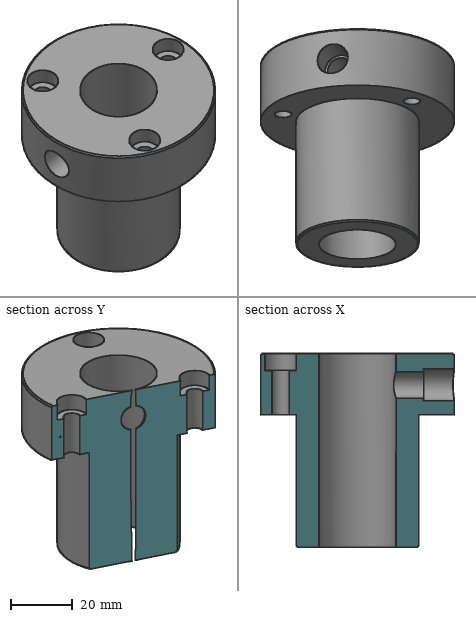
import cadquery as cq

total_height = 63.0
flange_diameter = 63.0
flange_height = 20.0
shank_diameter = 40.0
bore_diameter = 25.0
edge_chamfer = 0.5

bolt_count = 3
bolt_circle_radius = 25.0
first_bolt_angle = 90.0
bolt_hole_diameter = 5.5
counterbore_diameter = 10.0
counterbore_depth = 5.5

side_hole_diameter = 8.5
side_counterbore_diameter = 10.2
side_counterbore_depth = 10.0
side_hole_height = total_height - (flange_height + edge_chamfer) / 2


def make_body():
    """Flange and shank with chamfered end rims."""
    shank = (
        cq.Workplane("XY")
        .circle(shank_diameter / 2)
        .extrude(total_height)
        .faces("<Z")
        .chamfer(edge_chamfer)
    )
    flange = (
        cq.Workplane("XY", origin=(0, 0, total_height - flange_height))
        .circle(flange_diameter / 2)
        .extrude(flange_height)
        .faces(">Z")
        .chamfer(edge_chamfer)
    )
    return shank.union(flange)


def cut_bore_and_bolt_holes(body):
    """Central through bore and the ring of counterbored holes."""
    top = body.faces(">Z").workplane(origin=(0, 0, total_height))
    bored = top.hole(bore_diameter)
    return (
        bored.faces(">Z")
        .workplane(origin=(0, 0, total_height))
        .polarArray(bolt_circle_radius, first_bolt_angle, 360, bolt_count)
        .cboreHole(bolt_hole_diameter, counterbore_diameter, counterbore_depth)
    )


def make_side_hole():
    """Radial hole running to the bore axis, with a wider outer stretch."""
    rim = flange_diameter / 2
    at_rim = cq.Workplane("XZ", origin=(0, -rim, side_hole_height))
    narrow = at_rim.circle(side_hole_diameter / 2).extrude(-rim)
    wide = at_rim.circle(side_counterbore_diameter / 2).extrude(-side_counterbore_depth)
    return narrow.union(wide)


result = cut_bore_and_bolt_holes(make_body()).cut(make_side_hole())